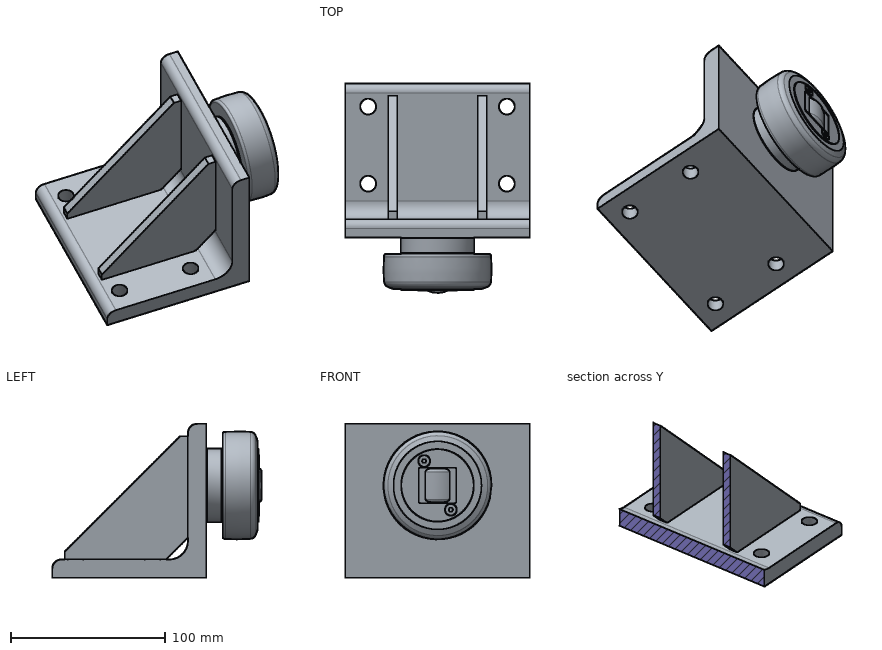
import cadquery as cq
import math

width = 120.0
leg = 100.0
thickness = 12.0
root_radius = 12.0
toe_radius = 6.0

hole_diameter = 10.11
hole_x = 45.0
hole_rows_y = (35.0, 85.0)

gusset_thickness = 6.0
gusset_x = 29.0
gusset_reach = 92.0
gusset_tip = 5.0
gusset_relief = 14.0

roller_z = 60.0
hub_radius = 23.65
hub_edge = 0.2
collar_radius = 24.0
collar_start = 0.45
collar_end = 9.7
disc_front = 34.0
tyre_radius = 35.15
crown_height = 0.35
tyre_back = 10.5
crown_start = 12.4
crown_end = 28.6
back_corner_drop = 1.5
tyre_front = 33.5
shoulder_start = 32.0
shoulder_radius = 32.4
face_radius = 28.6

window_width = 24.6
window_height = 23.1
window_depth = 0.3
window_corner = 1.2
axial_front = 36.0
axial_radius = 15.0
axial_crown = 0.15
axial_length = 21.8
axial_fillet = 2.0

screw_diameter = 7.8
screw_front = 34.4
screw_edge = 0.2
screw_x = 8.65
screw_z = 15.8
socket_flats = 2.5
socket_depth = 1.0


def face_plane(distance):
    """Plane facing forward, on the roller axis, at a distance in front of the bracket."""
    return cq.Workplane("XZ", origin=(0, -distance, roller_z))


def make_angle():
    corner = leg - toe_radius
    root = thickness + root_radius
    toe_bend = toe_radius * math.sqrt(0.5)
    root_bend = root - root_radius * math.sqrt(0.5)
    toe_center = thickness - toe_radius
    profile = (
        cq.Workplane("YZ", origin=(-width / 2, 0, 0))
        .moveTo(0, 0)
        .lineTo(leg, 0)
        .lineTo(leg, toe_center)
        .threePointArc((corner + toe_bend, toe_center + toe_bend), (corner, thickness))
        .lineTo(root, thickness)
        .threePointArc((root_bend, root_bend), (thickness, root))
        .lineTo(thickness, corner)
        .threePointArc((toe_center + toe_bend, corner + toe_bend), (toe_center, leg))
        .lineTo(0, leg)
        .close()
    )
    return profile.extrude(width)


def make_mounting_holes():
    centers = [(x, y) for x in (-hole_x, hole_x) for y in hole_rows_y]
    return cq.Workplane("XY").pushPoints(centers).circle(hole_diameter / 2).extrude(thickness)


def make_gusset(center_x):
    tip = thickness + gusset_tip
    relief = thickness + gusset_relief
    outline = [
        (relief, thickness),
        (gusset_reach, thickness),
        (gusset_reach, tip),
        (tip, gusset_reach),
        (thickness, gusset_reach),
        (thickness, relief),
    ]
    start = (center_x - gusset_thickness / 2, 0, 0)
    return cq.Workplane("YZ", origin=start).polyline(outline).close().extrude(gusset_thickness)


def make_hub():
    hub = face_plane(0).circle(hub_radius).extrude(disc_front)
    hub = hub.faces("<Y").edges().chamfer(hub_edge)
    collar = face_plane(collar_start).circle(collar_radius).extrude(collar_end - collar_start)
    return hub.union(collar)


def make_tyre():
    crown_edge = tyre_radius - crown_height
    crown_middle = (crown_start + crown_end) / 2
    arc_length = shoulder_start - crown_end
    arc_drop = crown_edge - shoulder_radius
    profile = (
        cq.Workplane("XY")
        .moveTo(0, -tyre_back)
        .lineTo(crown_edge - back_corner_drop, -tyre_back)
        .tangentArcPoint((back_corner_drop, tyre_back - crown_start))
        .threePointArc((tyre_radius, -crown_middle), (crown_edge, -crown_end))
        .tangentArcPoint((-arc_drop, -arc_length))
        .lineTo(face_radius, -tyre_front)
        .lineTo(0, -tyre_front)
        .close()
    )
    return profile.revolve(360, (0, 0, 0), (0, 1, 0)).translate((0, 0, roller_z))


def make_window():
    return (
        face_plane(disc_front - window_depth)
        .rect(window_width, window_height)
        .extrude(window_depth)
        .edges("|Y")
        .fillet(window_corner)
    )


def make_axial_roller():
    half_length = axial_length / 2
    end_radius = axial_radius - axial_crown
    profile = (
        cq.Workplane("XZ")
        .moveTo(0, -half_length)
        .lineTo(end_radius, -half_length)
        .threePointArc((axial_radius, 0), (end_radius, half_length))
        .lineTo(0, half_length)
        .close()
    )
    roller = profile.revolve(360, (0, 0, 0), (0, 1, 0))
    roller = roller.faces(">Z or <Z").edges().fillet(axial_fillet)
    return roller.translate((0, axial_radius - axial_front, roller_z))


def make_screw(x, z):
    socket_corners = socket_flats / math.cos(math.pi / 6)
    head_base = tyre_front
    head = face_plane(head_base).center(x, z).circle(screw_diameter / 2).extrude(screw_front - head_base)
    head = head.faces("<Y").edges().chamfer(screw_edge)
    socket = face_plane(screw_front - socket_depth).center(x, z).polygon(6, socket_corners)
    return head, socket.extrude(socket_depth)


result = make_angle().cut(make_mounting_holes())
for side in (-1, 1):
    result = result.union(make_gusset(side * gusset_x))

result = result.union(make_hub()).union(make_tyre())
result = result.cut(make_window()).union(make_axial_roller())
for side in (-1, 1):
    screw_head, screw_socket = make_screw(side * screw_x, -side * screw_z)
    result = result.union(screw_head).cut(screw_socket)